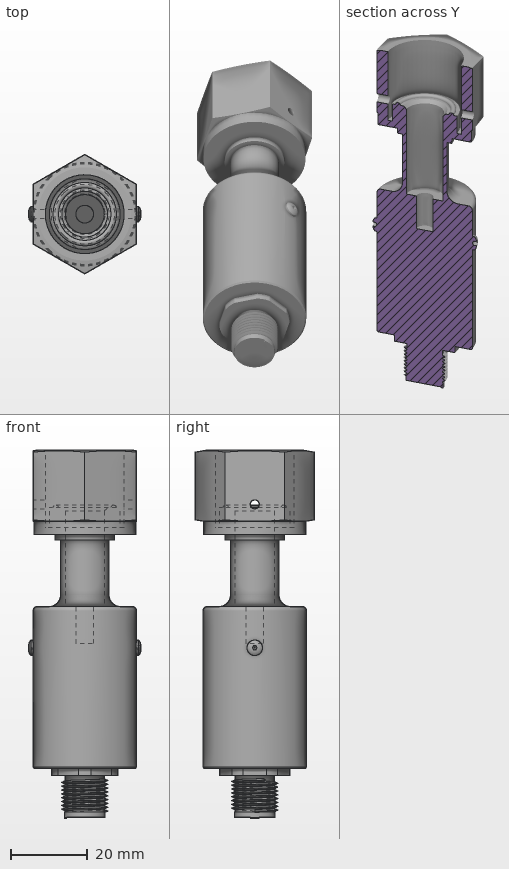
import cadquery as cq
import math

TOTAL_HEIGHT = 96.0
NUT_CORNERS = 31.1
NUT_BOTTOM = 77.4
NUT_TOP_FACE_DIA = 24.3
NUT_CHAMFER_ANGLE = 10.0
NUT_COLLAR_DIA = 26.6
NUT_COLLAR_BOTTOM = 73.9
NUT_BORE_DIA = 20.55
NUT_FLOOR = 75.9
TEST_HOLE_DIA = 2.3
TEST_HOLE_Z = 81.8

GLAND_DIA = 18.4
GLAND_FACE = 81.0
BEAD_OUTER_DIA = 16.5
BEAD_INNER_DIA = 13.6
BEAD_HEIGHT = 0.7
GLAND_NECK_DIA = 15.6
GLAND_NECK_BOTTOM = 72.5
TUBE_DIA = 12.7
TUBE_BORE_DIA = 10.2
COUNTERSINK_DIA = 11.9
COUNTERSINK_DEPTH = 0.9
PORT_DIA = 4.6
PORT_DEPTH = 9.6

HOUSING_DIA = 27.0
HOUSING_TOP = 55.2
HOUSING_BOTTOM = 13.0
HOUSING_TOP_FILLET = 1.2
HOUSING_BOTTOM_CHAMFER = 0.4
FLARE_RADIUS = 3.0

SCREW_Z = 44.5
SCREW_SPAN = 29.2
SCREW_HEAD_DIA = 4.0
SCREW_RIM = 0.5
SCREW_TIP_DIA = 1.8
SCREW_SHANK_LENGTH = 1.0
SCREW_CROWN = 0.1
SOCKET_CORNERS = 1.25
SOCKET_DEPTH = 0.8
SOCKET_CONE_DEPTH = 0.4

LOCK_NUT_FLATS = 17.3
LOCK_NUT_CORNER_DIA = 18.3
LOCK_NUT_BOTTOM = 11.1
CONNECTOR_DIA = 10.6
CONNECTOR_END_RING_TOP = 1.7
THREAD_ROOT_DIA = 10.2
CONNECTOR_BOTTOM = 0.3
THREAD_DIA = 12.0
THREAD_PITCH = 1.0
THREAD_START = 1.9
THREAD_LENGTH = 8.1
THREAD_EMBED = 0.1
THREAD_BASE_SHARE = 0.94
KEY_WIDTH = 2.3
KEY_THICKNESS = 0.6


def cylinder(diameter, bottom, top):
    return cq.Workplane("XY").workplane(offset=bottom).circle(diameter / 2).extrude(top - bottom)


def hexagon(corners, bottom, top):
    """Vertical hexagonal prism with corners on the Y axis."""
    return (
        cq.Workplane("XY").workplane(offset=bottom)
        .transformed(rotate=(0, 0, 90)).polygon(6, corners).extrude(top - bottom)
    )


def revolved(points):
    """Solid turned about Z from (radius, height) points."""
    return cq.Workplane("XZ").polyline(points).close().revolve(360, (0, 0, 0), (0, 1, 0))


def coupling_nut():
    slope = math.tan(math.radians(NUT_CHAMFER_ANGLE))
    corner = NUT_CORNERS / 2
    top_radius = NUT_TOP_FACE_DIA / 2
    bottom_radius = NUT_COLLAR_DIA / 2
    chamfer_envelope = revolved([
        (0, NUT_BOTTOM),
        (bottom_radius, NUT_BOTTOM),
        (corner, NUT_BOTTOM + (corner - bottom_radius) * slope),
        (corner, TOTAL_HEIGHT - (corner - top_radius) * slope),
        (top_radius, TOTAL_HEIGHT),
        (0, TOTAL_HEIGHT),
    ])
    nut = hexagon(NUT_CORNERS, NUT_BOTTOM, TOTAL_HEIGHT).intersect(chamfer_envelope)
    nut = nut.union(cylinder(NUT_COLLAR_DIA, NUT_COLLAR_BOTTOM, NUT_BOTTOM))
    nut = nut.cut(cylinder(NUT_BORE_DIA, NUT_FLOOR, TOTAL_HEIGHT))
    test_hole = (
        cq.Workplane("YZ").center(0, TEST_HOLE_Z).circle(TEST_HOLE_DIA / 2).extrude(NUT_CORNERS, both=True)
    )
    return nut.cut(test_hole)


def gland_and_tube():
    gland = cylinder(GLAND_DIA, NUT_COLLAR_BOTTOM, GLAND_FACE)
    sealing_bead = (
        cq.Workplane("XZ").moveTo(BEAD_INNER_DIA / 2, GLAND_FACE)
        .threePointArc(
            ((BEAD_INNER_DIA + BEAD_OUTER_DIA) / 4, GLAND_FACE + BEAD_HEIGHT),
            (BEAD_OUTER_DIA / 2, GLAND_FACE),
        )
        .close().revolve(360, (0, 0, 0), (0, 1, 0))
    )
    neck = cylinder(GLAND_NECK_DIA, GLAND_NECK_BOTTOM, NUT_COLLAR_BOTTOM)
    tube = cylinder(TUBE_DIA, HOUSING_TOP, GLAND_NECK_BOTTOM)
    return gland.union(sealing_bead).union(neck).union(tube)


def housing():
    body = cylinder(HOUSING_DIA, HOUSING_BOTTOM, HOUSING_TOP)
    body = body.faces(">Z").edges().fillet(HOUSING_TOP_FILLET)
    body = body.faces("<Z").edges().chamfer(HOUSING_BOTTOM_CHAMFER)
    tube_radius = TUBE_DIA / 2
    flare_top = HOUSING_TOP + FLARE_RADIUS
    arc_inset = FLARE_RADIUS * (1 - math.sqrt(0.5))
    flare = (
        cq.Workplane("XZ").moveTo(0, HOUSING_TOP).lineTo(tube_radius + FLARE_RADIUS, HOUSING_TOP)
        .threePointArc((tube_radius + arc_inset, HOUSING_TOP + arc_inset), (tube_radius, flare_top))
        .lineTo(0, flare_top).close().revolve(360, (0, 0, 0), (0, 1, 0))
    )
    return body.union(flare)


def side_screw():
    """Button-head screw on the +X side of the housing, with a cone-bottomed hexagon socket."""
    tip = SCREW_SPAN / 2
    seat = HOUSING_DIA / 2
    root = seat - SCREW_SHANK_LENGTH
    rim = seat + SCREW_RIM
    head_radius = SCREW_HEAD_DIA / 2
    tip_radius = SCREW_TIP_DIA / 2
    crown_middle = ((rim + tip) / 2 + SCREW_CROWN, (head_radius + tip_radius) / 2 + SCREW_CROWN)
    head = (
        cq.Workplane("XY").moveTo(root, 0).lineTo(root, head_radius).lineTo(rim, head_radius)
        .threePointArc(crown_middle, (tip, tip_radius))
        .lineTo(tip, 0).close().revolve(360, (0, 0, 0), (1, 0, 0))
    )
    socket = cq.Workplane("YZ").workplane(offset=tip).polygon(6, SOCKET_CORNERS).extrude(-SOCKET_DEPTH)
    socket_floor = tip - SOCKET_DEPTH
    cone_radius = SOCKET_CORNERS / 2 * math.cos(math.radians(30))
    cone = cq.Workplane(obj=cq.Solid.makeCone(
        cone_radius, 0, SOCKET_CONE_DEPTH, pnt=cq.Vector(socket_floor, 0, 0), dir=cq.Vector(-1, 0, 0),
    ))
    return head.cut(socket).cut(cone).translate((0, 0, SCREW_Z))


def lock_nut():
    blank = hexagon(LOCK_NUT_FLATS / math.cos(math.radians(30)), LOCK_NUT_BOTTOM, HOUSING_BOTTOM)
    return blank.intersect(cylinder(LOCK_NUT_CORNER_DIA, LOCK_NUT_BOTTOM, HOUSING_BOTTOM))


def thread():
    """Right-hand helical V ridge standing on the connector stem."""
    base_radius = THREAD_ROOT_DIA / 2 - THREAD_EMBED
    half_base = THREAD_PITCH * THREAD_BASE_SHARE / 2
    path = cq.Wire.makeHelix(THREAD_PITCH, THREAD_LENGTH, base_radius)
    ridge = (
        cq.Workplane("XZ")
        .polyline([(base_radius, -half_base), (THREAD_DIA / 2, 0), (base_radius, half_base)])
        .close().sweep(cq.Workplane(path), isFrenet=True)
    )
    return ridge.translate((0, 0, THREAD_START))


def connector():
    stem = cylinder(THREAD_ROOT_DIA, CONNECTOR_BOTTOM, LOCK_NUT_BOTTOM)
    end_ring = cylinder(CONNECTOR_DIA, CONNECTOR_BOTTOM, CONNECTOR_END_RING_TOP)
    key = (
        cq.Workplane("XY").center((KEY_THICKNESS - CONNECTOR_DIA) / 2, 0)
        .rect(KEY_THICKNESS, KEY_WIDTH).extrude(CONNECTOR_BOTTOM)
        .intersect(cylinder(CONNECTOR_DIA, 0, CONNECTOR_BOTTOM))
    )
    return stem.union(thread()).union(end_ring).union(key)


def bore():
    """Countersunk tube bore that ends at the housing, with a smaller blind port below."""
    countersink_bottom = GLAND_FACE - COUNTERSINK_DEPTH
    return revolved([
        (0, GLAND_FACE),
        (COUNTERSINK_DIA / 2, GLAND_FACE),
        (TUBE_BORE_DIA / 2, countersink_bottom),
        (TUBE_BORE_DIA / 2, HOUSING_TOP),
        (PORT_DIA / 2, HOUSING_TOP),
        (PORT_DIA / 2, HOUSING_TOP - PORT_DEPTH),
        (0, HOUSING_TOP - PORT_DEPTH),
    ])


screw = side_screw()
result = (
    coupling_nut()
    .union(gland_and_tube())
    .union(housing())
    .cut(bore())
    .union(screw)
    .union(screw.mirror("YZ"))
    .union(lock_nut())
    .union(connector())
)